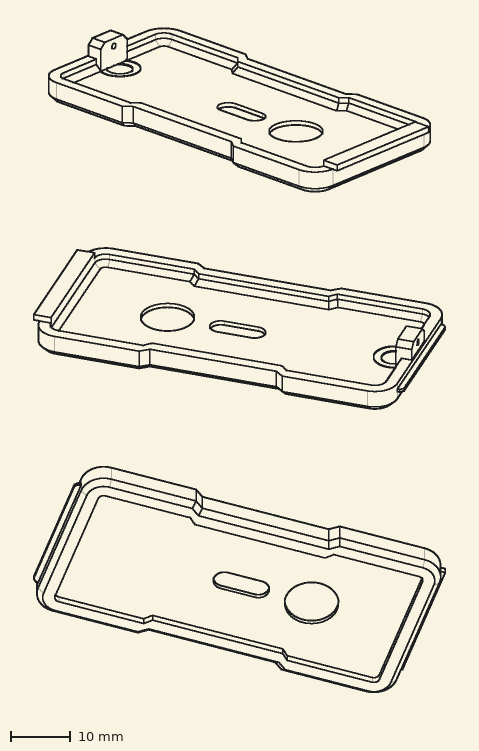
import cadquery as cq

overall_length = 65.1
body_length = 63.1
body_width = 30.4
body_height = 4.0
corner_radius = 4.0
edge_bevel = 1.0
wall_thickness = 2.0
left_end = -body_length / 2
right_end = body_length / 2
end_flat = body_width - 2 * corner_radius

floor_top = 2.0
floor_thickness = 0.8
floor_bottom = floor_top - floor_thickness

waist_depth = 1.2
step_start = 12.65
outer_step_end = 11.15
inner_step_end = step_start - waist_depth

tongue_projection = 1.0
tongue_thickness = 0.5
tongue_bottom = 2.35
tongue_corner = 0.6

ledge_height = 1.05
ledge_overhang = overall_length - body_length - tongue_projection

lug_top = 7.0
lug_width = 6.45
lug_setback = 0.2
lug_bevel = 1.0
lug_length = wall_thickness + edge_bevel - lug_setback
pin_hole_diameter = 1.0
pin_hole_height = 5.6

round_hole_diameter = 9.0
round_hole_x = 12.8
slot_length = 9.65
slot_width = 3.65
slot_x = 0.45

recess_x = left_end + 4.35
recess_diameter = 7.0
recess_depth = 0.1
inner_recess_diameter = 4.35
inner_recess_depth = 0.3


def waisted_block(inset, step_end, bottom, top):
    """Round-cornered, waisted block whose sides lie inset from the body sides."""
    half_length = body_length / 2 - inset
    half_width = body_width / 2 - inset
    half_waist = half_width - waist_depth
    back_side = [
        (half_length, half_width),
        (step_start, half_width),
        (step_end, half_waist),
        (-step_end, half_waist),
        (-step_start, half_width),
        (-half_length, half_width),
    ]
    front_side = [(-x, -y) for x, y in back_side]
    block = cq.Workplane("XY", origin=(0, 0, bottom)).polyline(back_side + front_side).close()
    return block.extrude(top - bottom).edges("|Z and (<X or >X)").fillet(corner_radius - inset)


def block_from_left(x_start, length, width, bottom, height):
    """Rectangular block centred on Y that starts at x_start and runs toward +X."""
    block = cq.Workplane("XY", origin=(x_start, 0, bottom))
    return block.box(length, width, height, centered=(False, True, False))


def vertical_cylinder(x, diameter, bottom, top):
    return cq.Workplane("XY", origin=(x, 0, bottom)).circle(diameter / 2).extrude(top - bottom)


def make_tray():
    outside = waisted_block(0, outer_step_end, 0, body_height).faces("<Z").chamfer(edge_bevel)
    cavity = waisted_block(wall_thickness, inner_step_end, floor_top, body_height)
    cavity = cavity.faces("<Z").chamfer(edge_bevel)
    pocket = waisted_block(wall_thickness + edge_bevel, inner_step_end, 0, floor_bottom)
    return outside.cut(cavity).cut(pocket)


def make_tongue():
    length = tongue_projection + wall_thickness / 2
    tongue = block_from_left(left_end - tongue_projection, length, end_flat, tongue_bottom, tongue_thickness)
    return tongue.edges("|Z and <X").chamfer(tongue_corner)


def make_ledge():
    length = wall_thickness + ledge_overhang
    return block_from_left(right_end - wall_thickness, length, end_flat, body_height, ledge_height)


def make_lug():
    lug = block_from_left(left_end + lug_setback, lug_length, lug_width, floor_top, lug_top - floor_top)
    lug = lug.edges("|X and >Z").chamfer(lug_bevel)
    pin_hole = cq.Workplane("YZ", origin=(left_end + lug_setback, 0, pin_hole_height))
    return lug.cut(pin_hole.circle(pin_hole_diameter / 2).extrude(lug_length))


def make_floor_openings():
    round_hole = vertical_cylinder(round_hole_x, round_hole_diameter, 0, floor_top)
    slot = cq.Workplane("XY", origin=(slot_x, 0, 0)).slot2D(slot_length, slot_width).extrude(floor_top)
    return round_hole.union(slot)


def make_stepped_recess():
    outer_step = vertical_cylinder(recess_x, recess_diameter, floor_top - recess_depth, floor_top)
    inner_step = vertical_cylinder(recess_x, inner_recess_diameter, floor_top - inner_recess_depth, floor_top)
    return outer_step.union(inner_step)


result = make_tray().cut(make_floor_openings()).cut(make_stepped_recess())
result = result.union(make_tongue()).union(make_ledge()).union(make_lug())